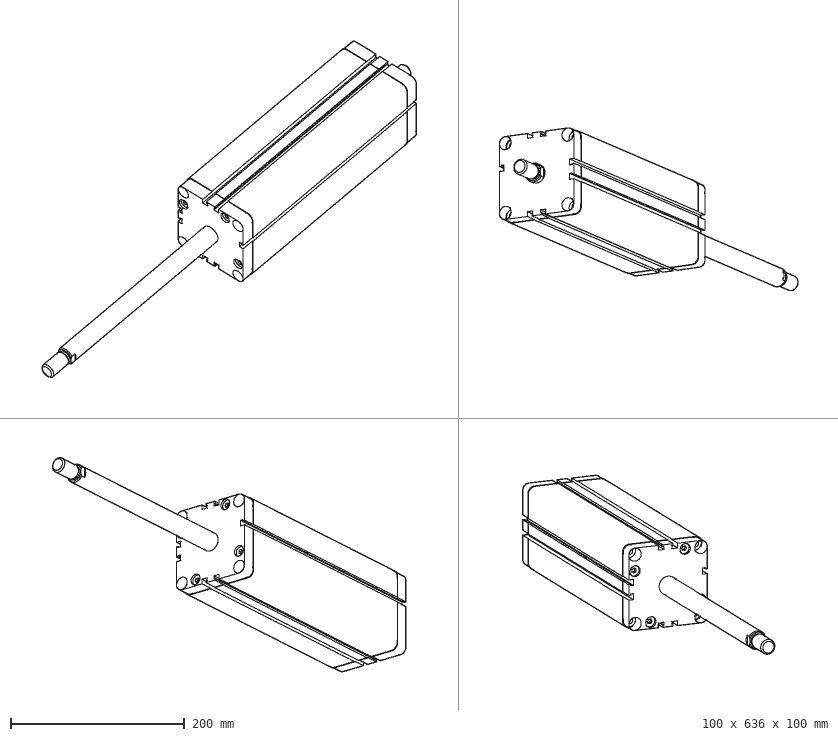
import cadquery as cq

total_length = 636.0
half_length = total_length / 2

profile_width = 100.0
cap_width = 98.5
corner_centre = 41.5
housing_front_y = -28.0
housing_back_y = 278.5
cap_thickness = 16.5

slot_mouth_width = 6.0
slot_groove_width = 7.0
slot_lip = 3.0
slot_depth = 6.5
paired_slot_offset = 12.0
single_slot_offset = 9.0

tie_hole_diameter = 8.0
tie_counterbore_diameter = 15.0

screw_recess_diameter = 13.0
screw_recess_depth = 3.0
screw_socket_size = 6.0
screw_socket_depth = 4.0
screw_shift = 21.5

rod_diameter = 22.0
journal_diameter = 18.0
journal_length = 29.0
journal_chamfer = 2.0
journal_taper_length = 1.0
neck_diameter = 16.0
neck_length = 2.5
rod_chamfer = 1.0
flats_width = 19.0
flats_end = 39.0


def square_bar(width, y_start, y_end):
    """Square bar along Y whose corner arcs are centred on the tie holes."""
    bar = cq.Workplane("XZ", origin=(0, y_start, 0)).rect(width, width).extrude(y_start - y_end)
    return bar.edges("|Y").fillet(width / 2 - corner_centre)


def slot_cutter(straight_wall, direction):
    """Slot on the top face, widening from its straight wall in the given X direction."""
    top = profile_width / 2
    mouth = straight_wall + direction * slot_mouth_width
    groove = straight_wall + direction * slot_groove_width
    outline = [
        (straight_wall, top),
        (mouth, top),
        (mouth, top - slot_lip),
        (groove, top - slot_lip),
        (groove, top - slot_depth),
        (straight_wall, top - slot_depth),
    ]
    plane = cq.Workplane("XZ", origin=(0, housing_front_y, 0))
    return plane.polyline(outline).close().extrude(housing_front_y - housing_back_y)


def turn(shape, angle):
    """Rotate a shape about the Y axis."""
    return shape.rotate((0, 0, 0), (0, 1, 0), angle)


def hole_cutter(x, z, diameter, y_start, depth):
    """Cylinder running from y_start toward +Y."""
    plane = cq.Workplane("XZ", origin=(x, y_start, z))
    return plane.circle(diameter / 2).extrude(-depth)


def make_housing():
    housing = square_bar(cap_width, housing_front_y, housing_back_y)
    profile = square_bar(profile_width, housing_front_y + cap_thickness, housing_back_y - cap_thickness)
    housing = housing.union(profile)

    for angle in (-90, 0, 180):
        for side in (-1, 1):
            housing = housing.cut(turn(slot_cutter(side * paired_slot_offset, -side), angle))
    housing = housing.cut(turn(slot_cutter(-single_slot_offset, -1), 90))

    housing_length = housing_back_y - housing_front_y
    back_counterbore_y = housing_back_y - cap_thickness
    for x in (-corner_centre, corner_centre):
        for z in (-corner_centre, corner_centre):
            housing = housing.cut(hole_cutter(x, z, tie_hole_diameter, housing_front_y, housing_length))
            for y in (housing_front_y, back_counterbore_y):
                housing = housing.cut(hole_cutter(x, z, tie_counterbore_diameter, y, cap_thickness))

    recess = hole_cutter(
        screw_shift, corner_centre, screw_recess_diameter, housing_front_y, screw_recess_depth
    )
    socket_plane = cq.Workplane(
        "XZ", origin=(screw_shift, housing_front_y + screw_recess_depth, corner_centre)
    )
    socket = socket_plane.polygon(6, screw_socket_size).extrude(-screw_socket_depth)
    screw = recess.union(socket)
    for angle in (0, 90, 180, 270):
        housing = housing.cut(turn(screw, angle))
    return housing


def make_half_rod():
    """Rod from mid-length to its +Y tip."""
    rod_r = rod_diameter / 2
    neck_r = neck_diameter / 2
    journal_r = journal_diameter / 2
    journal_start = half_length - journal_length
    shoulder = journal_start - neck_length
    outline = [
        (0, 0),
        (rod_r, 0),
        (rod_r, shoulder - rod_chamfer),
        (rod_r - rod_chamfer, shoulder),
        (neck_r, shoulder),
        (neck_r, journal_start),
        (journal_r, journal_start + journal_taper_length),
        (journal_r, half_length - journal_chamfer),
        (journal_r - journal_chamfer, half_length),
        (0, half_length),
    ]
    rod = cq.Workplane("XY").polyline(outline).close().revolve(360, (0, 0, 0), (0, 1, 0))

    flats_length = flats_end - (half_length - shoulder)
    flat_depth = rod_r
    for side in (-1, 1):
        flat = cq.Workplane("XY").box(flat_depth, flats_length, rod_diameter)
        flat_x = side * (flats_width + flat_depth) / 2
        rod = rod.cut(flat.translate((flat_x, shoulder - flats_length / 2, 0)))
    return rod


half_rod = make_half_rod()
rod = half_rod.union(half_rod.mirror("XZ"))
result = make_housing().union(rod)